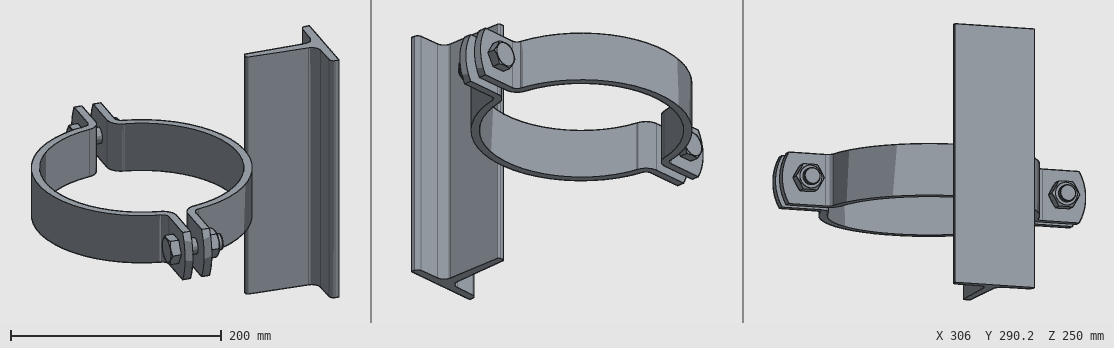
import cadquery as cq
import math


overall_width = 306.0
ring_outer_radius = 105.0
strap_thickness = 8.0
strap_height = 50.0
strap_gap = 11.3
bend_radius = 6.0
lug_end_radius = 50.0

bolt_spacing = 257.5
shank_diameter = 16.0
shank_end_diameter = 15.0
shank_end_chamfer_length = 1.0
hex_across_flats = 24.5
head_face_diameter = 23.5
nut_face_diameter = 22.0
hex_chamfer_angle = 30.0
head_height = 9.8
nut_height = 13.0
shank_protrusion = 5.0

tee_length = 250.0
tee_width = 80.2
tee_depth = 80.2
tee_thickness = 9.0
tee_taper = 0.02
root_radius = 9.0
flange_tip_radius = 4.5
web_tip_radius = 1.8
web_overlap = 0.15

lug_inner_y = strap_gap / 2
lug_outer_y = lug_inner_y + strap_thickness


def half_strap():
    """Half ring on the +Y side with an outward lug at each end."""
    ring_inner_radius = ring_outer_radius - strap_thickness
    end_x = overall_width / 2

    bend_y = lug_outer_y + bend_radius
    bend_x = math.sqrt((ring_outer_radius + bend_radius) ** 2 - bend_y**2)
    tangent_angle = math.atan2(bend_y, bend_x)

    def on_ring(radius):
        return radius * math.cos(tangent_angle), radius * math.sin(tangent_angle)

    def on_bend(radius):
        angle = (tangent_angle + math.pi + 1.5 * math.pi) / 2
        return bend_x + radius * math.cos(angle), bend_y + radius * math.sin(angle)

    def mirrored(point):
        return -point[0], point[1]

    outer_start = on_ring(ring_outer_radius)
    inner_start = on_ring(ring_inner_radius)
    outer_bend = on_bend(bend_radius)
    inner_bend = on_bend(bend_radius + strap_thickness)

    strap = (
        cq.Workplane("XY")
        .moveTo(end_x, lug_inner_y)
        .lineTo(end_x, lug_outer_y)
        .lineTo(bend_x, lug_outer_y)
        .threePointArc(outer_bend, outer_start)
        .threePointArc((0, ring_outer_radius), mirrored(outer_start))
        .threePointArc(mirrored(outer_bend), (-bend_x, lug_outer_y))
        .lineTo(-end_x, lug_outer_y)
        .lineTo(-end_x, lug_inner_y)
        .lineTo(-bend_x, lug_inner_y)
        .threePointArc(mirrored(inner_bend), mirrored(inner_start))
        .threePointArc((0, ring_inner_radius), inner_start)
        .threePointArc(inner_bend, (bend_x, lug_inner_y))
        .close()
        .extrude(strap_height / 2, both=True)
    )

    half_height = strap_height / 2
    corner_x = end_x - lug_end_radius + math.sqrt(lug_end_radius**2 - half_height**2)
    front_outline = (
        cq.Workplane("XZ")
        .moveTo(-corner_x, -half_height)
        .lineTo(corner_x, -half_height)
        .threePointArc((end_x, 0), (corner_x, half_height))
        .lineTo(-corner_x, half_height)
        .threePointArc((-end_x, 0), (-corner_x, -half_height))
        .close()
        .extrude(-overall_width)
    )
    return strap.intersect(front_outline)


def hexagon(height, face_diameter, chamfer_both_ends):
    """Hexagon from Z = 0 upwards, with its top or both ends turned to a conical chamfer."""
    corner_radius = hex_across_flats / math.sqrt(3)
    face_radius = face_diameter / 2
    drop = (corner_radius - face_radius) * math.tan(math.radians(hex_chamfer_angle))
    turned = cq.Workplane("XY").circle(corner_radius).extrude(height)
    turned = turned.faces(">Z or <Z" if chamfer_both_ends else ">Z")
    turned = turned.chamfer(drop, corner_radius - face_radius)
    return cq.Workplane("XY").polygon(6, 2 * corner_radius).extrude(height).intersect(turned)


def bolt_and_nut():
    """Bolt along Y with its head in front of the lugs and its nut behind them."""
    shank_end_y = lug_outer_y + nut_height + shank_protrusion
    end_radius = shank_end_diameter / 2
    shank_radius = shank_diameter / 2
    shank = (
        cq.Workplane("XY")
        .moveTo(0, -lug_outer_y)
        .lineTo(shank_radius, -lug_outer_y)
        .lineTo(shank_radius, shank_end_y - shank_end_chamfer_length)
        .lineTo(end_radius, shank_end_y)
        .lineTo(0, shank_end_y)
        .close()
        .revolve(360, (0, 0), (0, 1))
    )
    head = hexagon(head_height, head_face_diameter, False).rotate((0, 0, 0), (1, 0, 0), 90)
    nut = hexagon(nut_height, nut_face_diameter, True).rotate((0, 0, 0), (1, 0, 0), -90)
    return shank.union(head.translate((0, -lug_outer_y, 0))).union(nut.translate((0, lug_outer_y, 0)))


def tee_post():
    """Tee section with tapered flange and web; the web tip meets the ring."""
    tip_y = ring_outer_radius - web_overlap
    back_y = ring_outer_radius + tee_depth
    half_width = tee_width / 2

    root_y = back_y - tee_thickness - tee_taper * half_width / 2
    edge_y = back_y - tee_thickness + tee_taper * half_width / 2
    root_x = tee_thickness / 2 + tee_taper * tee_depth / 2
    tip_x = tee_thickness / 2 - tee_taper * tee_depth / 2

    right_side = [(half_width, back_y), (half_width, edge_y), (root_x, root_y), (tip_x, tip_y)]
    left_side = [(-x, y) for x, y in reversed(right_side)]
    post = cq.Workplane("XY").polyline(right_side + left_side).close().extrude(tee_length / 2, both=True)

    for (x, y), radius in zip(right_side[1:], (flange_tip_radius, root_radius, web_tip_radius)):
        for side in (-1, 1):
            corner = cq.selectors.NearestToPointSelector((side * x, y, 0))
            post = post.edges("|Z").edges(corner).fillet(radius)
    return post


rear_strap = half_strap()
front_strap = rear_strap.mirror("XZ")
result = rear_strap.union(front_strap).union(tee_post())
for side in (-1, 1):
    result = result.union(bolt_and_nut().translate((side * bolt_spacing / 2, 0, 0)))